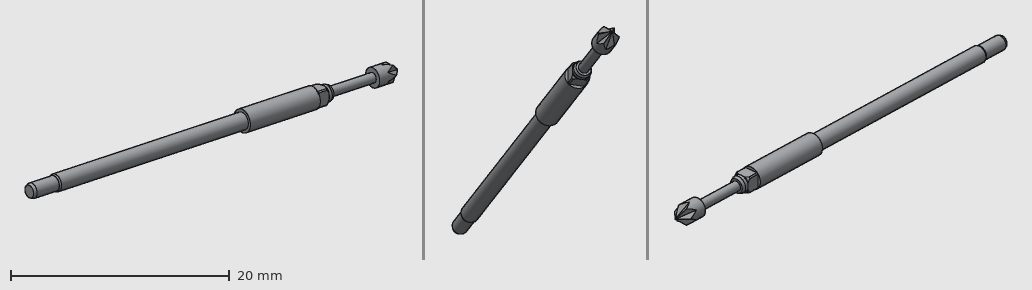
import cadquery as cq
import math

total_length = 44.3
tip_y = total_length / 2

head_end = 3.0
collar_start = 8.3
flats_start = 8.95
sleeve_start = 10.28
sleeve_end = 18.7
tube_end = 41.35

head_diameter = 2.0
plunger_diameter = 1.0
collar_diameter = 1.73
sleeve_diameter = 2.3
tube_diameter = 1.73
tail_diameter = 1.5

bevel_depth = 0.15
bevel_length = 0.3
square_bevel_depth = 0.18
square_bevel_length = 0.25
tube_bevel_depth = 0.1
tube_bevel_length = 0.18

square_width = 1.7
square_corner_diameter = 2.2

star_points = 6
ridge_depth = 0.97
valley_depth = 1.9


def rod(diameter, start, end):
    """Round bar between two distances behind the tip."""
    plane = cq.Workplane("XZ", origin=(0, tip_y - start, 0))
    return plane.circle(diameter / 2).extrude(end - start)


def star_pyramid():
    """Pyramid on a star-shaped base, with its apex at the tip and ridges towards +X and -X."""
    base_radii = [head_diameter / 2 * head_end / depth for depth in (ridge_depth, valley_depth)]
    corner_count = 2 * star_points
    corners = []
    for i in range(corner_count):
        angle = i * 2 * math.pi / corner_count
        radius = base_radii[i % 2]
        corners.append(cq.Vector(radius * math.cos(angle), tip_y - head_end, radius * math.sin(angle)))

    apex = cq.Vector(0, tip_y, 0)
    faces = [cq.Face.makeFromWires(cq.Wire.makePolygon(corners, close=True))]
    for i in range(corner_count):
        side = [corners[i - 1], corners[i], apex]
        faces.append(cq.Face.makeFromWires(cq.Wire.makePolygon(side, close=True)))
    return cq.Workplane(cq.Solid.makeSolid(cq.Shell.makeShell(faces)))


def bevelled_rod(diameter, start, end, bevelled_end, depth, length):
    """Round bar with one end tapered; bevelled_end is "start" or "end"."""
    bar = rod(diameter, start, end)
    direction = ">Y" if bevelled_end == "start" else "<Y"
    return bar.faces(direction).chamfer(length, depth)


def square_neck():
    """Square wrench section milled from a round bar, bevelled at the front of its corners."""
    plane = cq.Workplane("XZ", origin=(0, tip_y - flats_start, 0))
    square = plane.rect(square_width, square_width).extrude(sleeve_start - flats_start)
    bar = bevelled_rod(
        square_corner_diameter, flats_start, sleeve_start, "start", square_bevel_depth, square_bevel_length
    )
    return square.intersect(bar)


head = rod(head_diameter, 0, head_end).intersect(star_pyramid())
plunger = rod(plunger_diameter, head_end, collar_start)
collar = bevelled_rod(collar_diameter, collar_start, flats_start, "start", bevel_depth, bevel_length)
sleeve = rod(sleeve_diameter, sleeve_start, sleeve_end)
tube = bevelled_rod(tube_diameter, sleeve_end, tube_end, "end", tube_bevel_depth, tube_bevel_length)
tail = bevelled_rod(tail_diameter, tube_end, total_length, "end", bevel_depth, bevel_length)

result = head
for section in (plunger, collar, square_neck(), sleeve, tube, tail):
    result = result.union(section)